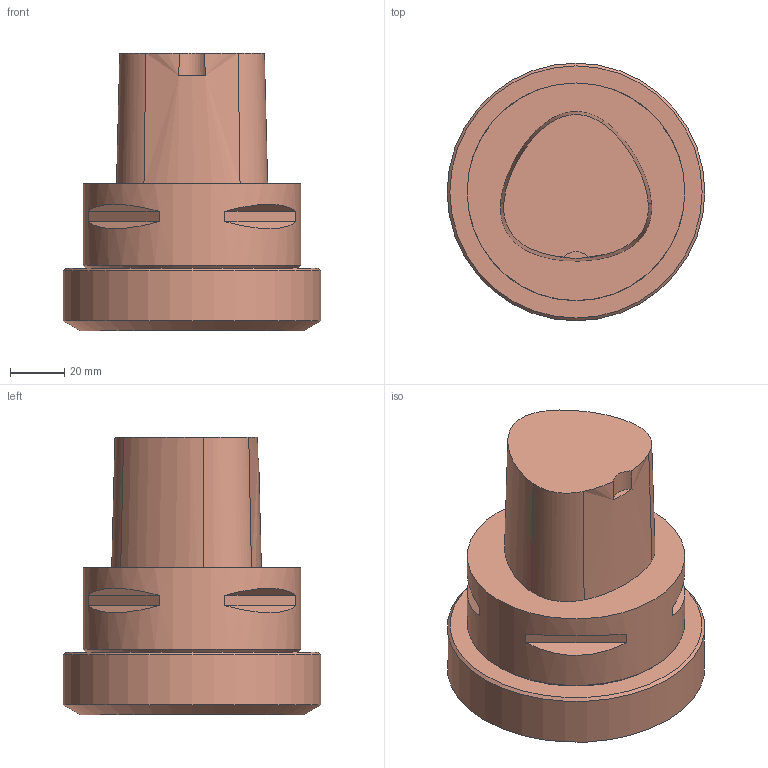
import cadquery as cq
import math

FLANGE_DIAMETER = 94.7
FLANGE_HEIGHT = 23.0
FLANGE_TOP_CHAMFER = 1.0
FLANGE_BOTTOM_BEVEL_WIDTH = 6.3
FLANGE_BOTTOM_BEVEL_ANGLE = 30.0

BODY_DIAMETER = 80.0
BODY_FOOT_DIAMETER = 78.0
SHOULDER_HEIGHT = 54.0

SHANK_LENGTH = 48.0
SHANK_MEAN_RADIUS = 27.5
SHANK_TAPER = 1 / 20
SHANK_LOBE_HEIGHT = 2.0
LOBE_COUNT = 3
FIRST_FLANK_DIRECTION = -90.0
FLANK_HALF_ANGLE = 35.0

GROOVE_COUNT = 4
GROOVE_FIRST_DIRECTION = 45.0
GROOVE_CENTRE_HEIGHT = 42.0
GROOVE_FLOOR_WIDTH = 3.75
GROOVE_FLOOR_OFFSET = 35.5
GROOVE_WALL_ANGLE = 30.0

NOTCH_RADIUS = 6.5
NOTCH_INNER_Y = -22.1
NOTCH_DEPTH = 8.2

TOTAL_HEIGHT = SHOULDER_HEIGHT + SHANK_LENGTH


def make_base():
    """Revolve the flange and body."""
    flange_radius = FLANGE_DIAMETER / 2
    body_radius = BODY_DIAMETER / 2
    foot_radius = BODY_FOOT_DIAMETER / 2
    foot_chamfer = body_radius - foot_radius
    bevel_height = FLANGE_BOTTOM_BEVEL_WIDTH * math.tan(math.radians(FLANGE_BOTTOM_BEVEL_ANGLE))
    return (
        cq.Workplane("XZ")
        .lineTo(flange_radius - FLANGE_BOTTOM_BEVEL_WIDTH, 0)
        .lineTo(flange_radius, bevel_height)
        .lineTo(flange_radius, FLANGE_HEIGHT - FLANGE_TOP_CHAMFER)
        .lineTo(flange_radius - FLANGE_TOP_CHAMFER, FLANGE_HEIGHT)
        .lineTo(foot_radius, FLANGE_HEIGHT)
        .lineTo(body_radius, FLANGE_HEIGHT + foot_chamfer)
        .lineTo(body_radius, SHOULDER_HEIGHT)
        .lineTo(0, SHOULDER_HEIGHT)
        .close()
        .revolve(360, (0, 0), (0, 1))
    )


def trochoid_arc(mean_radius, height, start_angle, end_angle):
    """Edge of the three-lobed outline between two angles measured from a flank centre."""
    turn = math.radians(FIRST_FLANK_DIRECTION)

    def point(fraction):
        angle = math.radians(start_angle + fraction * (end_angle - start_angle))
        inner_angle = (LOBE_COUNT - 1) * angle
        outward = mean_radius * math.cos(angle) - SHANK_LOBE_HEIGHT * math.cos(inner_angle)
        sideways = mean_radius * math.sin(angle) + SHANK_LOBE_HEIGHT * math.sin(inner_angle)
        x = outward * math.cos(turn) - sideways * math.sin(turn)
        y = outward * math.sin(turn) + sideways * math.cos(turn)
        return (x, y, height)

    return cq.Workplane("XY").parametricCurve(point, N=12, makeWire=False).val()


def shank_outline(mean_radius, height):
    """Closed outline of alternating flank and lobe curves."""
    pitch = 360 / LOBE_COUNT
    edges = []
    for index in range(LOBE_COUNT):
        flank_start = index * pitch - FLANK_HALF_ANGLE
        flank_end = index * pitch + FLANK_HALF_ANGLE
        edges.append(trochoid_arc(mean_radius, height, flank_start, flank_end))
        edges.append(trochoid_arc(mean_radius, height, flank_end, flank_start + pitch))
    return cq.Wire.assembleEdges(edges)


def make_shank():
    """Tapered shank, with its taper given on the diameter."""
    top_mean_radius = SHANK_MEAN_RADIUS - SHANK_LENGTH * SHANK_TAPER / 2
    bottom = shank_outline(SHANK_MEAN_RADIUS, SHOULDER_HEIGHT)
    top = shank_outline(top_mean_radius, TOTAL_HEIGHT)
    return cq.Workplane(cq.Solid.makeLoft([bottom, top], True))


def make_groove(direction):
    """Straight flared groove cutter across the body, facing the given direction."""
    body_radius = BODY_DIAMETER / 2
    depth = body_radius - GROOVE_FLOOR_OFFSET
    floor_half = GROOVE_FLOOR_WIDTH / 2
    mouth_half = floor_half + depth * math.tan(math.radians(GROOVE_WALL_ANGLE))
    return (
        cq.Workplane("XZ")
        .moveTo(GROOVE_FLOOR_OFFSET, GROOVE_CENTRE_HEIGHT - floor_half)
        .lineTo(body_radius, GROOVE_CENTRE_HEIGHT - mouth_half)
        .lineTo(body_radius, GROOVE_CENTRE_HEIGHT + mouth_half)
        .lineTo(GROOVE_FLOOR_OFFSET, GROOVE_CENTRE_HEIGHT + floor_half)
        .close()
        .extrude(body_radius, both=True)
        .rotate((0, 0, 0), (0, 0, 1), direction)
    )


def make_notch():
    """Round cutter that opens through the top and the -Y flank of the shank."""
    return (
        cq.Workplane("XY", origin=(0, NOTCH_INNER_Y - NOTCH_RADIUS, TOTAL_HEIGHT))
        .circle(NOTCH_RADIUS)
        .extrude(-NOTCH_DEPTH)
    )


result = make_base().union(make_shank())
for groove_index in range(GROOVE_COUNT):
    groove_direction = GROOVE_FIRST_DIRECTION + groove_index * 360 / GROOVE_COUNT
    result = result.cut(make_groove(groove_direction))
result = result.cut(make_notch())